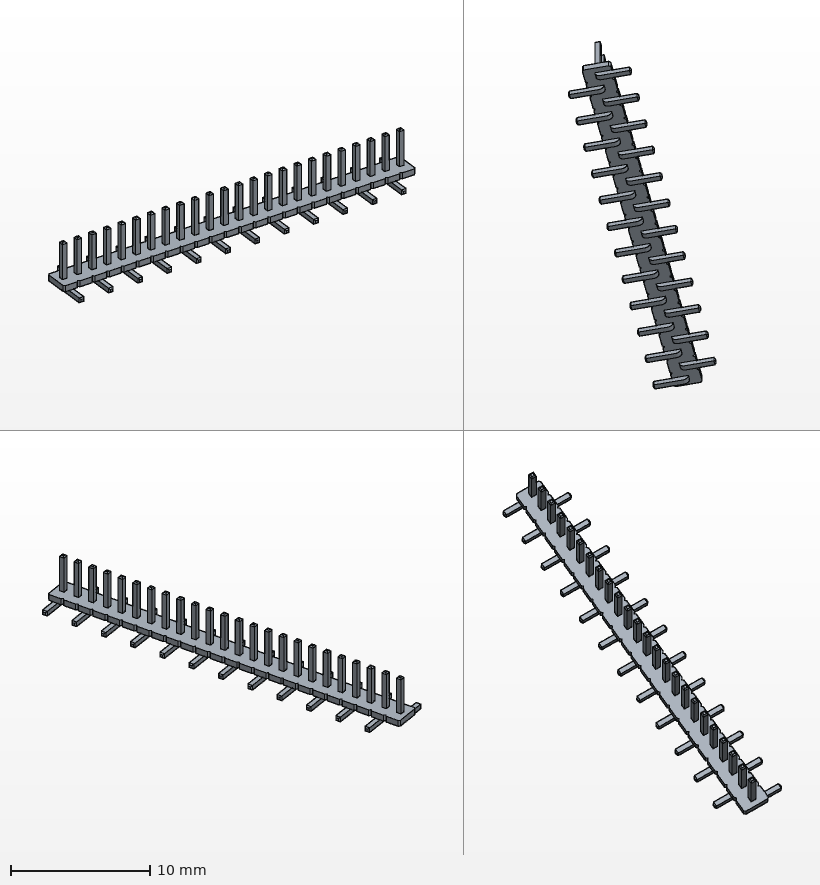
import cadquery as cq

PIN_COUNT = 24
PITCH = 1.27
WIRE = 0.4
TIP_CHAMFER = 0.1
BEND_RADIUS = WIRE
LEG_SPAN = 4.9
TOTAL_HEIGHT = 3.9

BODY_WIDTH = 2.1
BODY_HEIGHT = 0.5
BODY_CHAMFER = PITCH / 10

BODY_BOTTOM = WIRE
ROW_LENGTH = PIN_COUNT * PITCH


def pin_y(index):
    """Y position of a pin, counted from the -Y end of the row."""
    return (index + 0.5) * PITCH - ROW_LENGTH / 2


def make_segment():
    """One insulator segment; chamfers of neighbours meet in a V notch."""
    return (
        cq.Workplane("XY")
        .workplane(offset=BODY_BOTTOM)
        .rect(BODY_WIDTH, PITCH)
        .extrude(BODY_HEIGHT)
        .edges("|Z")
        .chamfer(BODY_CHAMFER)
    )


def make_pin():
    """L-shaped square pin with its leg along +X and tapered ends."""
    post = cq.Workplane("XY").rect(WIRE, WIRE).extrude(TOTAL_HEIGHT)
    post = post.faces(">Z").chamfer(TIP_CHAMFER)

    leg_length = (LEG_SPAN + WIRE) / 2
    leg = cq.Workplane("XY").box(leg_length, WIRE, WIRE, centered=(False, True, False))
    leg = leg.translate((-WIRE / 2, 0, 0))
    leg = leg.faces(">X").chamfer(TIP_CHAMFER)

    pin = post.union(leg)
    outer_corner = cq.selectors.NearestToPointSelector((-WIRE / 2, 0, 0))
    return pin.edges("|Y").edges(outer_corner).fillet(BEND_RADIUS)


def make_header():
    segment = make_segment()
    right_pin = make_pin()
    left_pin = right_pin.rotate((0, 0, 0), (0, 0, 1), 180)

    header = cq.Workplane("XY")
    for index in range(PIN_COUNT):
        header = header.union(segment.translate((0, pin_y(index), 0)))
    for index in range(PIN_COUNT):
        pin = right_pin if index % 2 == 0 else left_pin
        header = header.union(pin.translate((0, pin_y(index), 0)))
    return header.clean()


result = make_header()